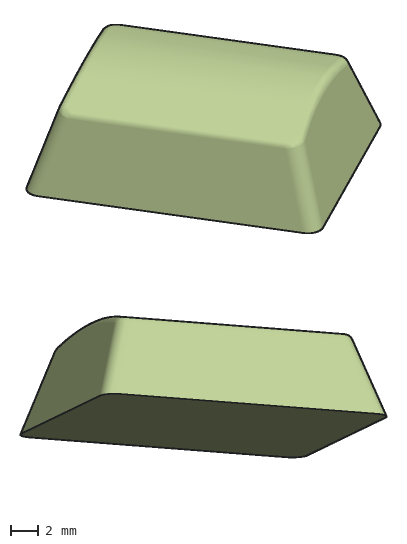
import cadquery as cq

base_length = 22.75
base_width = 18.0
height = 7.2
wall_taper = 18.0
crown_radius = 25.0
corner_radius = 1.25
rim_radius = 0.65


def tapered_block():
    """Four-sided block with leaning walls and rounded corner edges."""
    block = cq.Workplane("XY").rect(base_length, base_width).extrude(height, taper=wall_taper)
    return block.edges("not (|X or |Y)").fillet(corner_radius)


def crown_cylinder():
    """Cylinder along X whose highest line is the crown of the top."""
    section = cq.Workplane("YZ").center(0, height - crown_radius).circle(crown_radius)
    return section.extrude(base_length / 2, both=True)


crowned_block = tapered_block().intersect(crown_cylinder())

result = crowned_block.faces(">Z").edges().fillet(rim_radius)